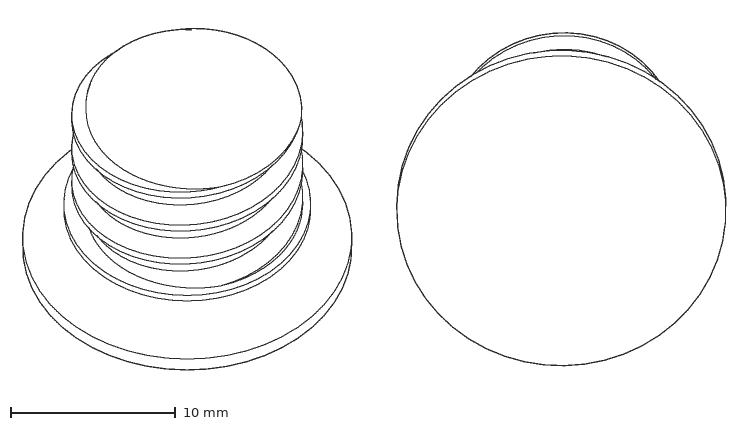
import cadquery as cq

flange_diameter = 20.0
flange_height = 1.0
collar_diameter = 15.0
collar_height = 0.5
cone_height = (flange_diameter - collar_diameter) / 2
base_height = flange_height + cone_height + collar_height

total_height = 13.0
root_diameter = 12.3
crest_diameter = 14.05
pitch = 3.0
crest_width = 0.55
turns = 5
thread_start_z = 1.05
root_overlap = 0.2

root_radius = root_diameter / 2
crest_radius = crest_diameter / 2
stud_height = total_height - base_height


def make_base():
    """Flange, 45 degree cone and short collar, revolved about Z."""
    cone_top = flange_height + cone_height
    return (
        cq.Workplane("XZ")
        .lineTo(flange_diameter / 2, 0)
        .lineTo(flange_diameter / 2, flange_height)
        .lineTo(collar_diameter / 2, cone_top)
        .lineTo(collar_diameter / 2, base_height)
        .lineTo(0, base_height)
        .close()
        .revolve(360, (0, 0, 0), (0, 1, 0))
    )


def make_stud():
    """Core with a trapezoidal ridge whose 45 degree flanks run on into the core, trimmed flat at both ends."""
    inner_radius = root_radius - root_overlap
    half_crest = crest_width / 2
    half_inner = half_crest + crest_radius - inner_radius
    helix = cq.Wire.makeHelix(pitch, turns * pitch, root_radius)
    ridge = (
        cq.Workplane("XZ")
        .polyline([
            (inner_radius, -half_inner),
            (crest_radius, -half_crest),
            (crest_radius, half_crest),
            (inner_radius, half_inner),
        ])
        .close()
        .sweep(cq.Workplane(obj=helix), isFrenet=True)
        .translate((0, 0, thread_start_z))
    )
    core_bottom = thread_start_z - pitch
    core_length = turns * pitch + 2 * pitch
    core = cq.Workplane("XY", origin=(0, 0, core_bottom)).circle(root_radius).extrude(core_length)
    envelope = cq.Workplane("XY", origin=(0, 0, base_height)).circle(collar_diameter / 2).extrude(stud_height)
    return core.union(ridge).intersect(envelope)


result = make_base().union(make_stud())